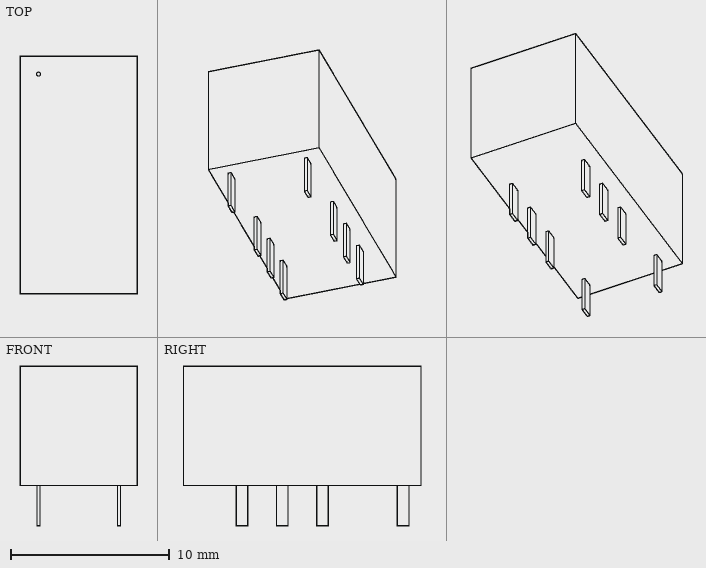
import cadquery as cq

housing_width = 7.39
housing_length = 15.01
overall_height = 10.09
pin_length = 2.54
housing_height = overall_height - pin_length

pin_pitch = 2.54
pin_thickness = 0.20
pin_width = 0.75
row_spacing = 2 * pin_pitch
first_pin_inset = 1.145
first_pin_y = housing_length / 2 - first_pin_inset
occupied_grid_places = (0, 2, 3, 4)

marker_diameter = 0.25
marker_depth = 0.10
marker_x = -row_spacing / 2
marker_y = first_pin_y


def make_marker():
    """Disc whose top face is level with the top of the housing."""
    return (
        cq.Workplane("XY", origin=(marker_x, marker_y, housing_height))
        .circle(marker_diameter / 2)
        .extrude(-marker_depth)
    )


def make_housing(marker):
    """Block with a recess in its top face that fits the marker."""
    block = cq.Workplane("XY").box(
        housing_width, housing_length, housing_height, centered=(True, True, False)
    )
    return block.cut(marker)


def make_pin(x, y):
    """Flat pin that hangs from the underside of the housing."""
    return (
        cq.Workplane("XY", origin=(x, y, 0))
        .rect(pin_thickness, pin_width)
        .extrude(-pin_length)
    )


marker = make_marker()
housing = make_housing(marker)

pins = []
for row_x in (-row_spacing / 2, row_spacing / 2):
    for place in occupied_grid_places:
        pins.append(make_pin(row_x, first_pin_y - place * pin_pitch))

result = cq.Compound.makeCompound(
    [housing.val(), marker.val()] + [pin.val() for pin in pins]
)